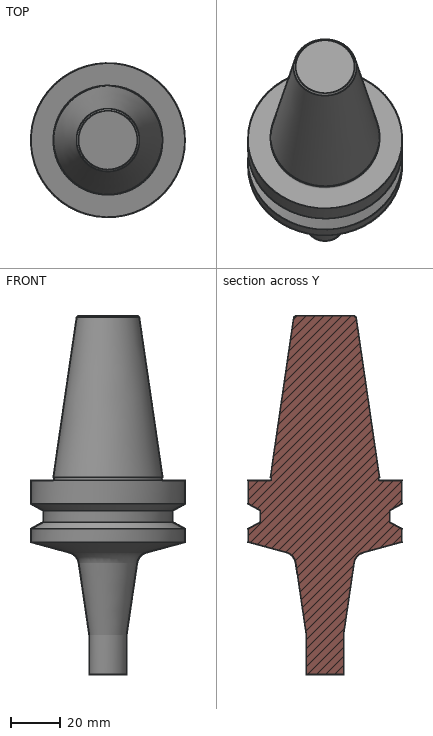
import cadquery as cq
import math

total_height = 146.4
nose_height = 16.3
flange_bottom = 54.0
flange_top = 79.2
taper_bottom = 80.5

nose_diameter = 15.4
neck_half_angle = 8.35
flange_underside_angle = 15.2
neck_fillet_radius = 5.0

flange_diameter = 63.0
groove_diameter = 53.0
groove_center = 64.5
groove_floor_width = 4.7
groove_mouth_width = 10.1

relief_diameter = 44.0
relief_fillet_radius = 0.6
taper_large_diameter = 44.7
taper_ratio = 7 / 24
tip_chamfer = 0.7

nose_radius = nose_diameter / 2
flange_radius = flange_diameter / 2
groove_radius = groove_diameter / 2
relief_radius = relief_diameter / 2
taper_large_radius = taper_large_diameter / 2
taper_height = total_height - taper_bottom
taper_small_radius = (taper_large_diameter - taper_height * taper_ratio) / 2

neck_slope = math.tan(math.radians(neck_half_angle))
underside_slope = math.tan(math.radians(flange_underside_angle))
corner_radius = (
    nose_radius + neck_slope * (flange_bottom - nose_height - underside_slope * flange_radius)
) / (1 - neck_slope * underside_slope)
corner_height = flange_bottom - underside_slope * (flange_radius - corner_radius)


def revolve_profile(points):
    """Revolve a closed outline of (radius, height) points about the Z axis."""
    return cq.Workplane("XZ").polyline(points).close().revolve(360, (0, 0, 0), (0, 1, 0))


def make_body():
    """Nose, neck, plain flange, relief and taper as one turned solid."""
    return revolve_profile([
        (0, 0),
        (nose_radius, 0),
        (nose_radius, nose_height),
        (corner_radius, corner_height),
        (flange_radius, flange_bottom),
        (flange_radius, flange_top),
        (relief_radius, flange_top),
        (relief_radius, taper_bottom),
        (taper_large_radius, taper_bottom),
        (taper_small_radius, total_height),
        (0, total_height),
    ])


def make_groove():
    """Ring with sloping sides that cuts the flange groove."""
    half_floor = groove_floor_width / 2
    half_mouth = groove_mouth_width / 2
    return revolve_profile([
        (groove_radius, groove_center - half_floor),
        (flange_radius, groove_center - half_mouth),
        (flange_radius, groove_center + half_mouth),
        (groove_radius, groove_center + half_floor),
    ])


body = make_body()
body = body.faces(">Z").edges().chamfer(tip_chamfer)

neck_corner = cq.selectors.NearestToPointSelector((0, 0, corner_height))
body = body.edges(neck_corner).fillet(neck_fillet_radius)

flange_face = cq.selectors.NearestToPointSelector((0, 0, flange_top))
relief_root = cq.selectors.RadiusNthSelector(0)
body = body.faces(flange_face).edges(relief_root).fillet(relief_fillet_radius)

result = body.cut(make_groove())